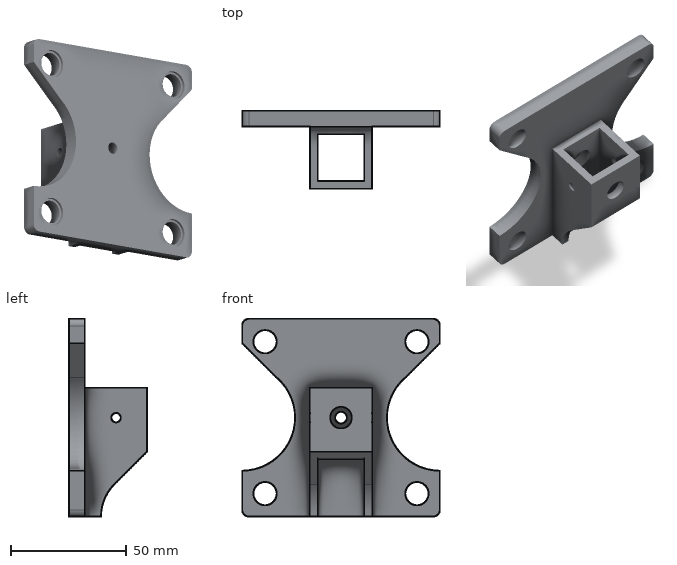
import cadquery as cq
import math


plate_size = 86.0
plate_thickness = 7.0
corner_radius = 3.0
mount_hole_pitch = 66.0
mount_hole_diameter = 10.0
mount_recess_diameter = 12.0
mount_recess_depth = 1.2
side_cutout_radius = 23.0
hole_to_sloped_edge = 7.5

total_depth = 34.0
bore_size = 20.2
sleeve_top = 13.0
lip_depth = 7.0
relief_radius = 20.0

bolt_diameter = 5.0
bolt_head_diameter = 9.4
bolt_head_recess = 5.0
pin_diameter = 4.0

half_plate = plate_size / 2
sleeve_size = total_depth - plate_thickness
wall = (sleeve_size - bore_size) / 2
sleeve_front = -total_depth
sleeve_centre_y = sleeve_front + sleeve_size / 2
bore_back = sleeve_front + wall + bore_size
diagonal = math.sqrt(0.5)


def cylinder_along_y(diameter, y_start, y_end, x=0.0, z=0.0):
    start = cq.Vector(x, y_start, z)
    return cq.Workplane(cq.Solid.makeCylinder(diameter / 2, y_end - y_start, start, cq.Vector(0, 1, 0)))


def side_cutout(side):
    """Half-round bite in one side edge, opening upwards along a 45 degree line past the upper mounting hole."""
    edge = side * half_plate
    slope_top = half_plate - hole_to_sloped_edge / diagonal
    half_chord = math.sqrt(side_cutout_radius**2 - (slope_top * diagonal) ** 2)
    slope_end_inset = slope_top / 2 - half_chord * diagonal
    slope_end_z = slope_top - slope_end_inset
    return (
        cq.Workplane("XZ")
        .moveTo(edge, -side_cutout_radius)
        .threePointArc(
            (edge - side * side_cutout_radius, 0),
            (edge - side * slope_end_inset, slope_end_z),
        )
        .lineTo(edge, slope_top)
        .close()
        .extrude(plate_thickness)
    )


def mount_hole(x, z):
    """Through hole with a shallow, wider recess in the rear face."""
    through = cylinder_along_y(mount_hole_diameter, -plate_thickness, 0, x, z)
    recess = cylinder_along_y(mount_recess_diameter, -mount_recess_depth, 0, x, z)
    return through.union(recess)


def make_plate():
    plate = (
        cq.Workplane("XZ")
        .rect(plate_size, plate_size)
        .extrude(plate_thickness)
        .edges("|Y")
        .fillet(corner_radius)
    )
    for side in (-1, 1):
        plate = plate.cut(side_cutout(side))
        for level in (-1, 1):
            x = side * mount_hole_pitch / 2
            z = level * mount_hole_pitch / 2
            plate = plate.cut(mount_hole(x, z))
    return plate


def make_sleeve():
    """Sleeve block whose lower front is relieved by a concave arc running into a 45 degree slope."""
    sleeve_back = sleeve_front + sleeve_size
    lip_y = -plate_thickness - lip_depth
    arc_centre_y = lip_y - relief_radius
    arc_middle_angle = math.radians(45) / 2
    arc_middle = (
        arc_centre_y + relief_radius * math.cos(arc_middle_angle),
        -half_plate + relief_radius * math.sin(arc_middle_angle),
    )
    arc_end_y = arc_centre_y + relief_radius * diagonal
    arc_end_z = -half_plate + relief_radius * diagonal
    slope_top = arc_end_z + arc_end_y - sleeve_front
    return (
        cq.Workplane("YZ")
        .moveTo(sleeve_back, sleeve_top)
        .lineTo(sleeve_front, sleeve_top)
        .lineTo(sleeve_front, slope_top)
        .lineTo(arc_end_y, arc_end_z)
        .threePointArc(arc_middle, (lip_y, -half_plate))
        .lineTo(sleeve_back, -half_plate)
        .close()
        .extrude(sleeve_size / 2, both=True)
    )


def make_bore():
    return (
        cq.Workplane("XY")
        .workplane(offset=-half_plate)
        .center(0, sleeve_centre_y)
        .rect(bore_size, bore_size)
        .extrude(half_plate + sleeve_top)
    )


def make_bolt_hole():
    """Head passes through the front wall and sinks into the rear wall; the shank hole goes right through."""
    shank = cylinder_along_y(bolt_diameter, sleeve_front, 0)
    head = cylinder_along_y(bolt_head_diameter, sleeve_front, bore_back + bolt_head_recess)
    return shank.union(head)


def make_pin_hole():
    return (
        cq.Workplane("YZ")
        .center(sleeve_centre_y, 0)
        .circle(pin_diameter / 2)
        .extrude(sleeve_size / 2, both=True)
    )


result = (
    make_plate()
    .union(make_sleeve())
    .cut(make_bore())
    .cut(make_bolt_hole())
    .cut(make_pin_hole())
)